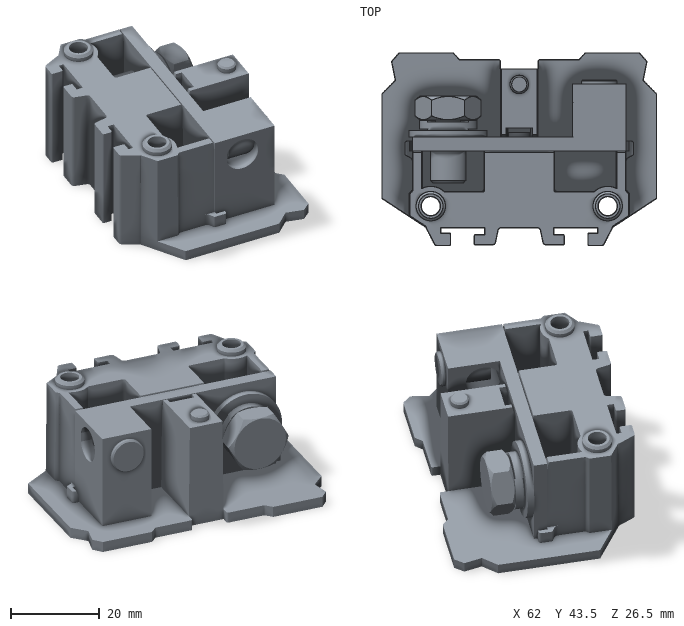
import cadquery as cq
import math

half_width = 31.0
depth = 43.5
plate_top = 2.55
body_top = 24.9
pin_top = 26.5
overlap = 0.6
draft = 0.5

shoulder_low = 10.65
shoulder_high = 34.2
slope_end_x = 21.1
slope_end_y = 4.15
plate_step_y = 42.0
notch_round = 0.4
plate_step_in = 13.45
plate_step_out = 14.95
ear_flat_end = 27.1
ear_tip_x = 28.8
ear_tip_y = 41.55
ear_neck_x = 27.95
ear_neck_y = 37.3
block_front = 39.9

spine_y = 4.0
spine_back = 5.6
outer_foot_in = 15.5
inner_foot_out = 10.15
outer_hook_y = 2.85
inner_hook_y = 2.5
rail_slot_out = 17.7
rail_slot_in = 7.8
inner_foot_low = 0.2
outer_foot_out = 19.0
inner_foot_in = 5.45
arch_half = 4.65
heel_round = 0.4
tip_round = 0.3
foot_round = 0.75

tower_half = 24.1
tower_wide_half = 24.85
flare_high = 12.6
flare_low = 11.8
pocket_in = 7.8
pocket_out = 22.1
pocket_y = 12.1
pocket_round = 0.55

bar_back = 21.4
bar_front = 24.5
bar_top = 24.75
terminal_left = 12.0
terminal_front = 36.45
slot_lead = 0.4
slot_lead_depth = 2.1

tube_x = 19.95
tube_y = 8.9
tube_radius = 6.65 / 2
tube_bore = 4.3 / 2
tube_chamfer = 0.55
tube_wall_radius = 4.45

block_half = 4.3
block_narrowing = 0.25
block_lead = 0.6
block_lead_depth = 3.1
recess_half = 3.05
recess_front = 26.6
recess_draft = 1.4
dowel_y = 36.4
dowel_radius = 4.15 / 2
dowel_chamfer = 0.4
stub_radius = 2.5
stub_length = 1.05

bolt_x = -16.05
bolt_z = 13.75
thread_radius = 8.0 / 2
thread_chamfer = 0.55
bolt_end = 14.2
washer_radius = 8.8
washer_front = 26.05
spring_radius = 6.5
spring_thickness = 1.85
spring_wave = 0.3
head_back = 28.35
head_front = 33.8
head_flats = 12.9
head_chamfer_flat = 6.3
head_chamfer_slope = 0.85
bore_y = 28.35
bore_z = 19.45
screw_tip = 26.05
screw_front = 37.45
screw_chamfer = 0.3

clip_top = 5.45
clip_x = 25.8
clip_low = 18.3
clip_slope_high = 20.5
clip_slope_low = 19.6
clip_corner_round = 0.55
clip_slope_round = 0.3
clip_root_round = 1.0
clip_high = 23.6
clip_lead = 0.7


def rounded(points, z=0.0):
    """Closed outline on a level plane; each point is (x, y) or (x, y, corner radius)."""
    path = cq.Workplane("XY").workplane(offset=z)
    started = False
    for i, point in enumerate(points):
        corner = cq.Vector(point[0], point[1])
        radius = point[2] if len(point) > 2 else 0
        stops = [corner]
        if radius:
            before = points[i - 1]
            after = points[(i + 1) % len(points)]
            to_before = (cq.Vector(before[0], before[1]) - corner).normalized()
            to_after = (cq.Vector(after[0], after[1]) - corner).normalized()
            half_angle = to_before.getAngle(to_after) / 2
            reach = radius / math.tan(half_angle)
            inward = (to_before + to_after).normalized()
            middle = corner + inward * (radius / math.sin(half_angle) - radius)
            stops = [corner + to_before * reach, middle, corner + to_after * reach]
        first = (stops[0].x, stops[0].y)
        path = path.lineTo(*first) if started else path.moveTo(*first)
        started = True
        if radius:
            path = path.threePointArc((stops[1].x, stops[1].y), (stops[2].x, stops[2].y))
    return path.close()


def mirrored(half):
    """Full outline from its +X half, listed from one end of that half to the other."""
    return half + [(-p[0],) + tuple(p[1:]) for p in reversed(half)]


def both_sides(solid):
    return solid.union(solid.mirror("YZ"))


def box(x0, x1, y0, y1, z0, z1):
    return cq.Workplane("XY").box(x1 - x0, y1 - y0, z1 - z0, centered=False).translate((x0, y0, z0))


def rod(x, z, radius, y0, y1):
    """Cylinder along Y."""
    return cq.Workplane("XZ", origin=(x, y0, z)).circle(radius).extrude(y0 - y1)


def lead_in(x0, x1, y, run, drop):
    """Wedge along X that widens a gap at the top, from the wall at y by run."""
    corners = [(y, body_top), (y + run, body_top), (y, body_top - drop)]
    return cq.Workplane("YZ", origin=(x0, 0, 0)).polyline(corners).close().extrude(x1 - x0)


def flange_plate():
    half = [
        (block_half, block_front),
        (block_half, plate_step_y, notch_round),
        (plate_step_in, plate_step_y),
        (plate_step_out, depth),
        (ear_flat_end, depth),
        (ear_tip_x, ear_tip_y),
        (ear_neck_x, ear_neck_y),
        (half_width, shoulder_high),
        (half_width, shoulder_low),
        (slope_end_x, slope_end_y),
        (slope_end_x, spine_back),
    ]
    return rounded(mirrored(half)).extrude(plate_top)


def rail_feet():
    half = [
        (slope_end_x - overlap, spine_back),
        (slope_end_x, slope_end_y, heel_round),
        (outer_foot_out, 0.0, foot_round),
        (outer_foot_in, 0.0, tip_round),
        (outer_foot_in, outer_hook_y, tip_round),
        (rail_slot_out, outer_hook_y),
        (rail_slot_out, spine_y),
        (rail_slot_in, spine_y),
        (rail_slot_in, inner_hook_y),
        (inner_foot_out, inner_hook_y, tip_round),
        (inner_foot_out, inner_foot_low, tip_round),
        (inner_foot_in, inner_foot_low, foot_round),
        (arch_half, spine_y, foot_round),
    ]
    return rounded(mirrored(half)).extrude(body_top)


def tower():
    slope = (shoulder_low - slope_end_y) / (half_width - slope_end_x)
    half = [
        (tower_half, bar_front),
        (tower_half, flare_high),
        (tower_wide_half, flare_low),
        (tower_wide_half, slope_end_y + slope * (tower_wide_half - slope_end_x)),
        (slope_end_x, slope_end_y),
    ]
    body = rounded(mirrored(half), plate_top).extrude(body_top - plate_top, taper=draft)
    body = body.cut(box(-half_width, half_width, bar_back, depth, plate_top, pin_top))
    return body.cut(lead_in(-half_width, half_width, bar_back, -slot_lead, slot_lead_depth))


def pocket():
    corners = [
        (pocket_in, pocket_y, pocket_round),
        (pocket_in, bar_front),
        (pocket_out, bar_front),
        (pocket_out, pocket_y),
    ]
    hollow = rounded(corners, body_top).extrude(plate_top - body_top, taper=draft)
    tube_wall = cq.Workplane("XY").center(tube_x, tube_y).circle(tube_wall_radius).extrude(body_top)
    return both_sides(hollow.cut(tube_wall))


def tube():
    rim = cq.Workplane("XY").center(tube_x, tube_y).circle(tube_radius).extrude(pin_top)
    return both_sides(rim.faces(">Z").chamfer(tube_chamfer))


def tube_holes():
    return both_sides(cq.Workplane("XY").center(tube_x, tube_y).circle(tube_bore).extrude(pin_top))


def side_clips():
    outline = [
        (tower_half - overlap, clip_high),
        (clip_x, clip_high, clip_corner_round),
        (clip_x, clip_slope_high, clip_slope_round),
        (tower_half, clip_slope_low, clip_root_round),
        (tower_half, clip_low),
        (tower_half - overlap, clip_low),
    ]
    clip = rounded(outline).extrude(clip_top)
    wedge = [
        (tower_half, clip_top),
        (tower_half + clip_lead, clip_top),
        (tower_half, clip_top - slot_lead_depth),
    ]
    gap = cq.Workplane("XZ", origin=(0, bar_back, 0)).polyline(wedge).close()
    return both_sides(clip.cut(gap.extrude(bar_back - clip_high)))


def centre_block():
    sides = [
        (-block_half, plate_top),
        (block_half, plate_top),
        (block_half - block_narrowing, body_top),
        (block_narrowing - block_half, body_top),
    ]
    block = cq.Workplane("XZ", origin=(0, bar_front, 0)).polyline(sides).close()
    block = block.extrude(bar_front - block_front)
    block = block.cut(lead_in(-block_half, block_half, bar_front, block_lead, block_lead_depth))
    narrowing = (body_top - plate_top) * math.tan(math.radians(recess_draft))
    recess = [
        (-recess_half, body_top),
        (recess_half, body_top),
        (recess_half - narrowing, plate_top),
        (narrowing - recess_half, plate_top),
    ]
    hollow = cq.Workplane("XZ", origin=(0, bar_front, 0)).polyline(recess).close()
    block = block.cut(hollow.extrude(bar_front - recess_front))
    dowel = cq.Workplane("XY").center(0, dowel_y).circle(dowel_radius).extrude(pin_top)
    dowel = dowel.faces(">Z").chamfer(dowel_chamfer)
    stub = rod(0, bolt_z, stub_radius, bar_front, bar_front + stub_length)
    return block.union(dowel).union(stub)


def busbar():
    bar = box(-tower_half, tower_half, bar_back, bar_front, plate_top, bar_top)
    terminal = box(terminal_left, tower_half, bar_back, terminal_front, plate_top, bar_top)
    wire_bore = cq.Workplane("YZ", origin=(terminal_left, bore_y, bore_z))
    wire_bore = wire_bore.circle(thread_radius).extrude(tower_half - terminal_left)
    screw_x = (terminal_left + tower_half) / 2
    screw = rod(screw_x, bore_z, thread_radius, screw_tip, screw_front)
    screw = screw.faces(">Y").chamfer(screw_chamfer)
    return bar.union(terminal.cut(wire_bore)).union(screw)


def spring_washer():
    """Wavy ring whose left and right quarters are bent away from the flat washer."""
    reach = spring_radius + overlap
    quarter = cq.Workplane("XZ", origin=(0, washer_front, 0))
    quarter = quarter.polyline([(0, 0), (reach, reach), (reach, -reach)]).close()
    sides = both_sides(quarter.extrude(-spring_thickness - spring_wave))
    sides = sides.translate((bolt_x, 0, bolt_z))
    ring = rod(bolt_x, bolt_z, spring_radius, washer_front, washer_front + spring_thickness)
    raised = ring.translate((0, spring_wave, 0))
    return ring.cut(sides).union(raised.intersect(sides))


def bolt():
    shank = rod(bolt_x, bolt_z, thread_radius, bolt_end, head_front)
    shank = shank.faces("<Y").chamfer(thread_chamfer)
    washer = rod(bolt_x, bolt_z, washer_radius, bar_front, washer_front)
    across_corners = head_flats / math.cos(math.pi / 6)
    hexagon = cq.Workplane("XZ", origin=(bolt_x, head_back, bolt_z)).polygon(6, across_corners)
    head = hexagon.extrude(head_back - head_front)
    corner = across_corners / 2
    drop = (corner - head_chamfer_flat) * head_chamfer_slope
    cone_profile = [
        (0, head_back),
        (head_chamfer_flat, head_back),
        (corner, head_back + drop),
        (corner, head_front - drop),
        (head_chamfer_flat, head_front),
        (0, head_front),
    ]
    envelope = cq.Workplane("XY").polyline(cone_profile).close()
    envelope = envelope.revolve(360, (0, 0, 0), (0, 1, 0)).translate((bolt_x, 0, bolt_z))
    return shank.union(washer).union(spring_washer()).union(head.intersect(envelope))


result = (
    tower()
    .cut(pocket())
    .union(flange_plate())
    .union(rail_feet())
    .union(tube())
    .union(centre_block())
    .union(busbar())
    .union(side_clips())
    .union(bolt())
    .cut(tube_holes())
)